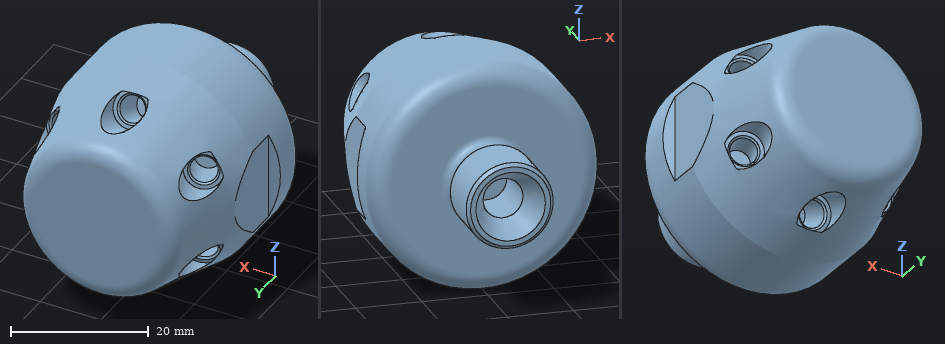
import cadquery as cq
import math

head_radius = 17.5
head_length = 30.95
straight_length = 12.7
taper_angle = 15.0
edge_round = 3.0

stud_radius = 6.6
stud_length = 12.05
stud_chamfer = 0.5
neck_radius = 5.6
neck_round = 1.2
neck_straight_end = -2.35
stud_shoulder = -3.53
socket_mouth_radius = 5.25
bore_radius = 3.0
socket_depth = 3.85

flat_offset = 16.0
flat_start = 7.9
flat_ramp_angle = 30.0

hole_count = 6
first_hole_angle = 30.0
hole_tilt = 25.0
hole_floor_y = 20.0
hole_floor_radius = 13.67
counterbore_diameter = 6.0
hole_diameter = 4.13
hole_depth = 6.0
hole_chamfer = 0.3

clearance = 12.9


def make_head():
    end_radius = head_radius - (head_length - straight_length) * math.tan(math.radians(taper_angle))
    outline = (
        cq.Workplane("XY")
        .lineTo(head_radius, 0)
        .lineTo(head_radius, straight_length)
        .lineTo(end_radius, head_length)
        .lineTo(0, head_length)
        .close()
    )
    head = outline.revolve(360, (0, 0, 0), (0, 1, 0))
    return head.faces("<Y or >Y").edges().fillet(edge_round)


def make_stud():
    """Revolve the stud, its concave neck and its tapered socket, whose bore ends at the seat face."""
    arc_step = neck_round * (1 - math.sqrt(0.5))
    outline = (
        cq.Workplane("XY")
        .moveTo(0, edge_round)
        .lineTo(neck_radius + neck_round, edge_round)
        .lineTo(neck_radius + neck_round, 0)
        .threePointArc((neck_radius + arc_step, -arc_step), (neck_radius, -neck_round))
        .lineTo(neck_radius, neck_straight_end)
        .radiusArc((stud_radius, stud_shoulder), -neck_round)
        .lineTo(stud_radius, stud_chamfer - stud_length)
        .lineTo(stud_radius - stud_chamfer, -stud_length)
        .lineTo(socket_mouth_radius, -stud_length)
        .lineTo(bore_radius, socket_depth - stud_length)
        .lineTo(bore_radius, 0)
        .lineTo(0, 0)
        .close()
    )
    return outline.revolve(360, (0, 0, 0), (0, 1, 0))


def make_flat_cutter():
    """Material outside the +X flat, ending in a ramp towards the seat face."""
    ramp_drop = clearance * math.tan(math.radians(flat_ramp_angle))
    return (
        cq.Workplane("XY")
        .moveTo(flat_offset, flat_start)
        .lineTo(flat_offset + clearance, flat_start - ramp_drop)
        .lineTo(flat_offset + clearance, head_length)
        .lineTo(flat_offset, head_length)
        .close()
        .extrude(head_radius, both=True)
    )


def make_hole_cutter():
    """Counterbored hole leaning outwards, in the +X half of the XY plane."""
    tilt = math.radians(hole_tilt)
    floor = cq.Plane(
        origin=(hole_floor_radius, hole_floor_y, 0),
        xDir=(0, 0, 1),
        normal=(math.sin(tilt), math.cos(tilt), 0),
    )
    counterbore = cq.Workplane(floor).circle(counterbore_diameter / 2).extrude(clearance)
    bore = cq.Workplane(floor).circle(hole_diameter / 2).extrude(-hole_depth)
    mouth = (
        cq.Workplane(floor)
        .circle(hole_diameter / 2 + hole_chamfer)
        .extrude(-hole_chamfer, taper=45)
    )
    return counterbore.union(bore).union(mouth)


result = make_head().union(make_stud())

for side_angle in (0, 180):
    result = result.cut(make_flat_cutter().rotate((0, 0, 0), (0, 1, 0), side_angle))

for index in range(hole_count):
    hole_angle = first_hole_angle + index * 360 / hole_count
    result = result.cut(make_hole_cutter().rotate((0, 0, 0), (0, 1, 0), hole_angle))